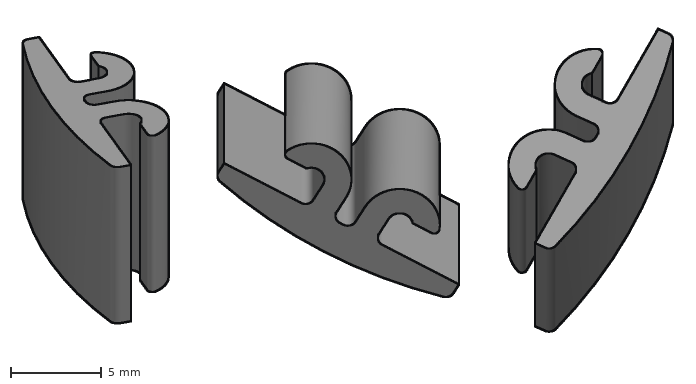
import cadquery as cq
import math

width = 15.0
height = 10.0
center_thickness = 1.98
edge_thickness = 1.0
corner_radius = 0.5

hook_reach = 3.76
wall = 1.5
hook_gap = 1.2
bore_radius = 0.72
lip_y = 2.0
tip_radius = 0.3
root_radius = 0.5

stem_inner_x = hook_gap / 2
stem_outer_x = stem_inner_x + wall
outer_radius = bore_radius + wall
hook_x = stem_outer_x + bore_radius
hook_y = hook_reach - outer_radius
lip_rise = lip_y - hook_y
bore_lip_x = hook_x + math.sqrt(bore_radius**2 - lip_rise**2)
tip_x = hook_x + math.sqrt(outer_radius**2 - lip_rise**2)

edge_tolerance = 0.02


def round_edges(body, points, radius):
    """Round the vertical edges that pass through the given XY points."""
    for x, y in points:
        low = (x - edge_tolerance, y - edge_tolerance, -height)
        high = (x + edge_tolerance, y + edge_tolerance, height)
        body = body.edges(cq.selectors.BoxSelector(low, high)).fillet(radius)
    return body


def make_plate():
    """Plate with a flat back and an arched front."""
    half = width / 2
    plate = (
        cq.Workplane("XY")
        .moveTo(-half, 0)
        .lineTo(-half, -edge_thickness)
        .threePointArc((0, -center_thickness), (half, -edge_thickness))
        .lineTo(half, 0)
        .close()
        .extrude(height)
    )
    corners = [(-half, -edge_thickness), (half, -edge_thickness)]
    return round_edges(plate, corners, corner_radius)


def make_hook():
    """Hook on the +X side: straight stem, curled end and flat lip."""
    embed_y = -edge_thickness / 2
    diagonal = math.sqrt(0.5)
    bore_mid = (hook_x, hook_y + bore_radius)
    outer_mid = (hook_x - outer_radius * diagonal, hook_y + outer_radius * diagonal)
    hook = (
        cq.Workplane("XY")
        .moveTo(stem_inner_x, embed_y)
        .lineTo(stem_outer_x, embed_y)
        .lineTo(stem_outer_x, hook_y)
        .threePointArc(bore_mid, (bore_lip_x, lip_y))
        .lineTo(tip_x, lip_y)
        .threePointArc(outer_mid, (stem_inner_x, hook_y))
        .close()
        .extrude(height)
    )
    return round_edges(hook, [(tip_x, lip_y)], tip_radius)


hook = make_hook()
body = make_plate().union(hook).union(hook.mirror("YZ"))

stem_roots = [(side * x, 0) for side in (-1, 1) for x in (stem_inner_x, stem_outer_x)]
result = round_edges(body, stem_roots, root_radius)